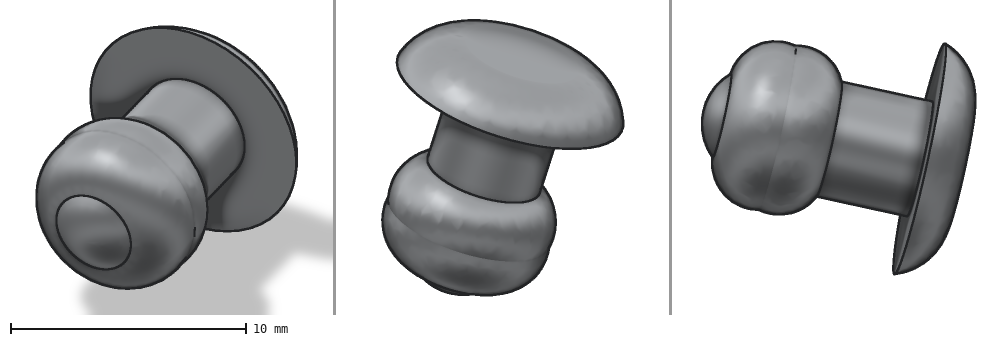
import cadquery as cq

total_length = 11.25
head_radius = 5.03
head_thickness = 1.8
shank_radius = 2.51
shank_length = 3.96
head_flat_radius = shank_radius
bulb_arc_radius = 2.0
bulb_seam_radius = 3.59
bulb_rear_length = 2.27
nose_radius = 1.82
nose_height = 0.81

head_arc_width = head_radius - head_flat_radius
head_arc_radius = (head_arc_width**2 + head_thickness**2) / (2 * head_thickness)

nose_sphere_radius = (nose_radius**2 + nose_height**2) / (2 * nose_height)

head_front = -head_thickness
bulb_rear = head_front - shank_length
bulb_seam = bulb_rear - bulb_rear_length
nose_tip = -total_length
bulb_front = nose_tip + nose_height

profile = (
    cq.Workplane("XY")
    .lineTo(head_flat_radius, 0)
    .radiusArc((head_radius, head_front), head_arc_radius)
    .lineTo(shank_radius, head_front)
    .lineTo(shank_radius, bulb_rear)
    .radiusArc((bulb_seam_radius, bulb_seam), bulb_arc_radius)
    .radiusArc((nose_radius, bulb_front), bulb_arc_radius)
    .radiusArc((0, nose_tip), nose_sphere_radius)
    .close()
)

result = profile.revolve(360, (0, 0, 0), (0, 1, 0))